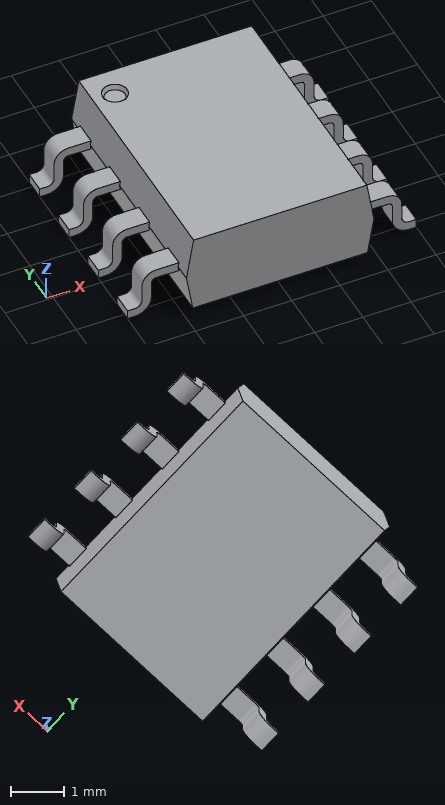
import cadquery as cq
import math

span = 6.0
height = 1.8

body_length = 5.0
body_width = 3.9
standoff = 0.1
parting_height = 0.9
draft_angle = 9.5

lead_count = 4
lead_pitch = 1.27
lead_width = 0.46
lead_thickness = 0.2
foot_offset = 0.3
shoulder_inner_radius = 0.1
foot_inner_radius = 0.15
lead_embed = 0.3

dimple_x = -1.34
dimple_y = 1.885
dimple_top_radius = 0.25
dimple_floor_radius = 0.21
dimple_depth = 0.1


def make_body():
    """Hexagonal profile, widest at the parting line, extruded along Y."""
    slope = math.tan(math.radians(draft_angle))
    half_width = body_width / 2
    half_top = half_width - (height - parting_height) * slope
    half_bottom = half_width - (parting_height - standoff) * slope
    return (
        cq.Workplane("XZ")
        .moveTo(-half_bottom, standoff)
        .lineTo(half_bottom, standoff)
        .lineTo(half_width, parting_height)
        .lineTo(half_top, height)
        .lineTo(-half_top, height)
        .lineTo(-half_width, parting_height)
        .close()
        .extrude(body_length / 2, both=True)
    )


def make_lead():
    """One -X lead, centred on Y = 0: flat foot, upright, shoulder into the body."""
    toe = -span / 2
    upright_outer = toe + foot_offset
    upright_inner = upright_outer + lead_thickness
    shoulder_top = parting_height + lead_thickness / 2
    shoulder_bottom = shoulder_top - lead_thickness
    inner_end = -body_width / 2 + lead_embed
    shoulder_outer_radius = shoulder_inner_radius + lead_thickness
    foot_outer_radius = foot_inner_radius + lead_thickness
    shoulder_bend_x = upright_outer + shoulder_outer_radius
    shoulder_bend_z = shoulder_top - shoulder_outer_radius
    foot_bend_x = upright_outer - foot_inner_radius
    foot_bend_z = foot_outer_radius
    return (
        cq.Workplane("XZ")
        .moveTo(toe, 0)
        .lineTo(foot_bend_x, 0)
        .radiusArc((upright_inner, foot_bend_z), -foot_outer_radius)
        .lineTo(upright_inner, shoulder_bend_z)
        .radiusArc((shoulder_bend_x, shoulder_bottom), shoulder_inner_radius)
        .lineTo(inner_end, shoulder_bottom)
        .lineTo(inner_end, shoulder_top)
        .lineTo(shoulder_bend_x, shoulder_top)
        .radiusArc((upright_outer, shoulder_bend_z), -shoulder_outer_radius)
        .lineTo(upright_outer, foot_bend_z)
        .radiusArc((foot_bend_x, lead_thickness), foot_inner_radius)
        .lineTo(toe, lead_thickness)
        .close()
        .extrude(lead_width / 2, both=True)
    )


def make_dimple():
    """Tapered cutter for the pin-one mark, narrowing downward from the top face."""
    return cq.Workplane(
        cq.Solid.makeCone(
            dimple_top_radius,
            dimple_floor_radius,
            dimple_depth,
            pnt=cq.Vector(dimple_x, dimple_y, height),
            dir=cq.Vector(0, 0, -1),
        )
    )


result = make_body().cut(make_dimple())

left_lead = make_lead()
right_lead = left_lead.mirror("YZ")
for index in range(lead_count):
    lead_y = (index - (lead_count - 1) / 2) * lead_pitch
    result = result.union(left_lead.translate((0, lead_y, 0)))
    result = result.union(right_lead.translate((0, lead_y, 0)))